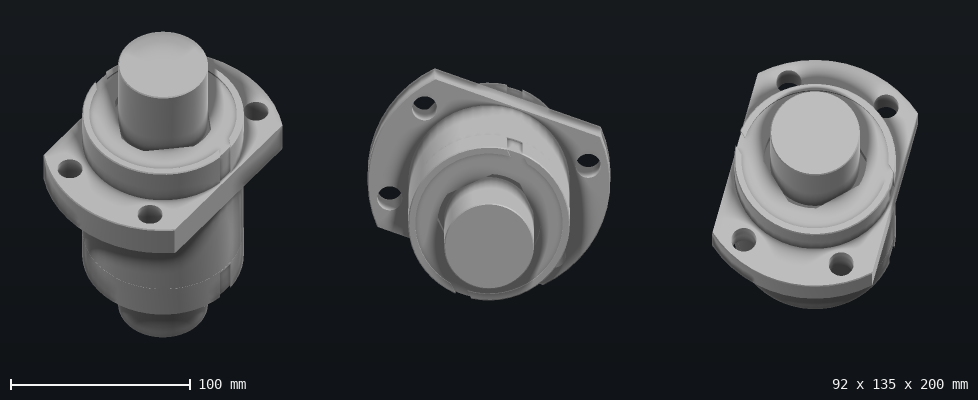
import cadquery as cq
import math

shaft_length = 200.0
shaft_diameter = 50.0
shaft_chamfer = 0.5

nut_length = 117.5
nut_diameter = 90.0
barrel_diameter = 89.8
cap_length = 21.8
nut_chamfer = 0.5
nut_half = nut_length / 2
cap_start = nut_half - cap_length

flange_diameter = 135.0
flange_width = 92.0
flange_thickness = 19.5
flange_chamfer = 0.5
bolt_hole_diameter = 14.0
bolt_circle_diameter = 112.0
bolt_angles = (60, 120, 240, 300)

recess_diameter = 82.0
recess_depth = 1.2
pocket_diameter = 57.5
pocket_flat_width = 50.5
pocket_depth = 6.0

notch_width = 6.8
notch_offset = 30.5
notch_inner_end = 20.0
notch_outer_end = 40.0
notch_angle = -45
notch_end_gap = 1.2
notch_floor_diameter = 88.0


def cylinder(diameter, bottom, height):
    return cq.Workplane("XY").workplane(offset=bottom).circle(diameter / 2).extrude(height)


def make_shaft():
    shaft = cylinder(shaft_diameter, -shaft_length / 2, shaft_length)
    return shaft.faces("<Z or >Z").chamfer(shaft_chamfer)


def make_flange():
    bottom = cap_start - flange_thickness
    flange = cylinder(flange_diameter, bottom, flange_thickness).faces("<Z or >Z").chamfer(flange_chamfer)
    slab = cq.Workplane("XY").box(flange_width, flange_diameter, shaft_length)
    flange = flange.intersect(slab)
    bolt_radius = bolt_circle_diameter / 2
    centres = [
        (bolt_radius * math.cos(math.radians(angle)), bolt_radius * math.sin(math.radians(angle)))
        for angle in bolt_angles
    ]
    holes = (
        cq.Workplane("XY").workplane(offset=bottom)
        .pushPoints(centres).circle(bolt_hole_diameter / 2).extrude(flange_thickness)
    )
    return flange.cut(holes)


def make_notch_cutter(end_gap):
    """Two opposite slanted slots in the upper cap, bounded inside by a round core."""
    bottom = cap_start + end_gap
    slots = cq.Workplane("XY")
    for turn in (0, 180):
        slot = (
            cq.Workplane("XY").workplane(offset=bottom)
            .center(-(notch_inner_end + notch_outer_end) / 2, -notch_offset)
            .rect(notch_outer_end - notch_inner_end, notch_width)
            .extrude(nut_half - bottom)
        )
        slots = slots.add(slot.rotate((0, 0, 0), (0, 0, 1), notch_angle + turn))
    slots = slots.combine()
    core = cylinder(notch_floor_diameter, bottom, nut_half - recess_depth - bottom)
    return slots.cut(core)


def make_cap(end_gap):
    """Upper end cap with its recess, shaft pocket and notches."""
    cap = cylinder(nut_diameter, cap_start, cap_length).faces(">Z").chamfer(nut_chamfer)
    recess_floor = nut_half - recess_depth
    cap = cap.cut(cylinder(recess_diameter, recess_floor, recess_depth))
    flats = (
        cq.Workplane("XY").rect(pocket_flat_width, pocket_flat_width).extrude(nut_half)
        .rotate((0, 0, 0), (0, 0, 1), notch_angle)
    )
    pocket = cylinder(pocket_diameter, recess_floor - pocket_depth, pocket_depth).intersect(flats)
    return cap.cut(pocket).cut(make_notch_cutter(end_gap))


barrel = cylinder(barrel_diameter, -cap_start, 2 * cap_start)
upper_cap = make_cap(0)
lower_cap = make_cap(notch_end_gap).mirror("XY")

result = barrel.union(upper_cap).union(lower_cap).union(make_flange()).union(make_shaft())